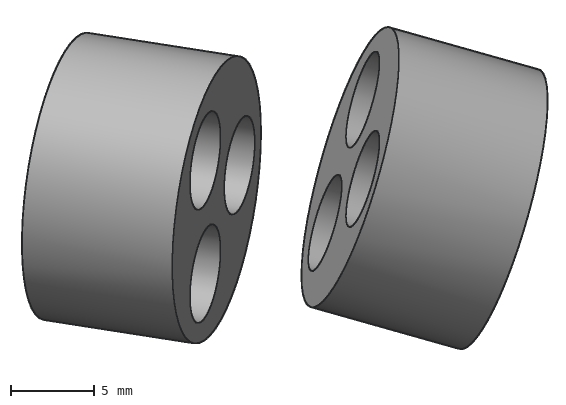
import cadquery as cq

body_diameter = 17.5
body_length = 9.5
hole_diameter = 6.0
hole_circle_radius = 4.5
hole_count = 3

body = cq.Workplane("YZ").circle(body_diameter / 2).extrude(body_length)

holes = (
    cq.Workplane("YZ")
    .polarArray(hole_circle_radius, 0, 360, hole_count)
    .circle(hole_diameter / 2)
    .extrude(body_length)
)

result = body.cut(holes)